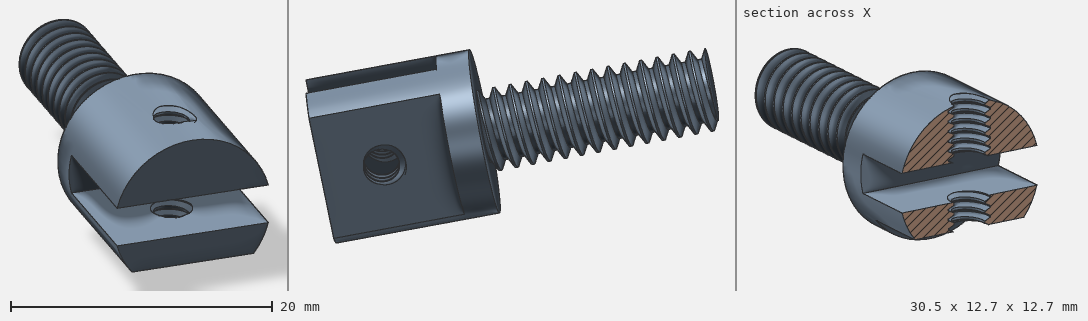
import cadquery as cq
import math

total_length = 30.48
head_diameter = 12.7
head_length = 12.7
head_radius = head_diameter / 2
stud_length = total_length - head_length
stud_start = -total_length / 2
head_start = stud_start + stud_length

base_thickness = 2.53
slot_height = 3.17
lower_flat_depth = 4.0
slot_start = head_start + base_thickness
arm_length = head_length - base_thickness

stud_major = 6.35
stud_minor = 4.85
stud_pitch = head_length / 10
stud_crest = stud_pitch / 8
stud_root = 0.75 * stud_pitch
first_crest = 0.82

hole_from_slot = 5.5
hole_minor = 2.77
hole_major = 3.8
hole_pitch = 0.8
hole_groove_tip = hole_pitch / 8
hole_groove_mouth = 0.75 * hole_pitch
hole_thread_angle = 170


def threaded_rod(minor, major, pitch, root_width, crest_width, turns):
    """Right-handed threaded rod along +Z, with the first crest on +X at height zero.

    The body is one pitch of the thread profile wound around Z; its ends are stepped helicoids.
    """
    root, crest = minor / 2, major / 2
    profile = [
        (root, -root_width / 2),
        (crest, -crest_width / 2),
        (crest, crest_width / 2),
        (root, root_width / 2),
        (root, pitch - root_width / 2),
    ]

    def helix(radius, height):
        return cq.Wire.makeHelix(pitch, pitch, radius, center=cq.Vector(0, 0, height))

    faces = []
    for turn in range(turns):
        rise = turn * pitch
        for (radius_a, height_a), (radius_b, height_b) in zip(profile, profile[1:]):
            lower = helix(radius_a, height_a + rise)
            upper = helix(radius_b, height_b + rise)
            faces.extend(cq.Face.makeRuledSurface(lower, upper).Faces())

    bottom, top = profile[0][1], profile[-1][1]
    for rise in (0, turns * pitch):
        axis_start = cq.Vector(0, 0, bottom + rise)
        axis_end = cq.Vector(0, 0, top + rise)
        axis = cq.Wire.assembleEdges([cq.Edge.makeLine(axis_start, axis_end)])
        faces.extend(cq.Face.makeRuledSurface(axis, helix(root, bottom + rise)).Faces())
        corners = [cq.Vector(radius, 0, height + rise) for radius, height in profile]
        outline = cq.Wire.makePolygon([axis_start, *corners, axis_end], close=True)
        faces.append(cq.Face.makeFromWires(outline))
    return cq.Workplane(obj=cq.Solid.makeSolid(cq.Shell.makeShell(faces)))


def make_stud():
    lead = 2 * stud_pitch - first_crest
    turns = math.ceil((stud_length + lead) / stud_pitch) + 1
    rod = threaded_rod(stud_minor, stud_major, stud_pitch, stud_root, stud_crest, turns)
    envelope = cq.Workplane("XY").rect(head_diameter, head_diameter).extrude(stud_length)
    stud = envelope.intersect(rod.translate((0, 0, -lead)))
    return stud.rotate((0, 0, 0), (0, 1, 0), 90).translate((stud_start, 0, 0))


def make_head():
    head = cq.Workplane("YZ", origin=(head_start, 0, 0)).circle(head_radius).extrude(head_length)
    slot_middle = slot_start + arm_length / 2
    slot = cq.Workplane("XY").box(arm_length, head_diameter, slot_height)
    below_height = head_radius - lower_flat_depth
    below = cq.Workplane("XY").box(arm_length, head_diameter, below_height)
    head = head.cut(slot.translate((slot_middle, 0, 0)))
    return head.cut(below.translate((slot_middle, 0, -lower_flat_depth - below_height / 2)))


def make_tap():
    """Threaded body of the hole, long enough to pass through both arms."""
    turns = math.ceil(head_diameter / hole_pitch) + 4
    tap = threaded_rod(
        hole_minor, hole_major, hole_pitch, hole_groove_mouth, hole_groove_tip, turns
    )
    tap = tap.rotate((0, 0, 0), (0, 0, 1), hole_thread_angle)
    tap_start = head_radius - (turns - 2) * hole_pitch
    return tap.translate((slot_start + hole_from_slot, 0, tap_start))


result = make_head().cut(make_tap()).union(make_stud())